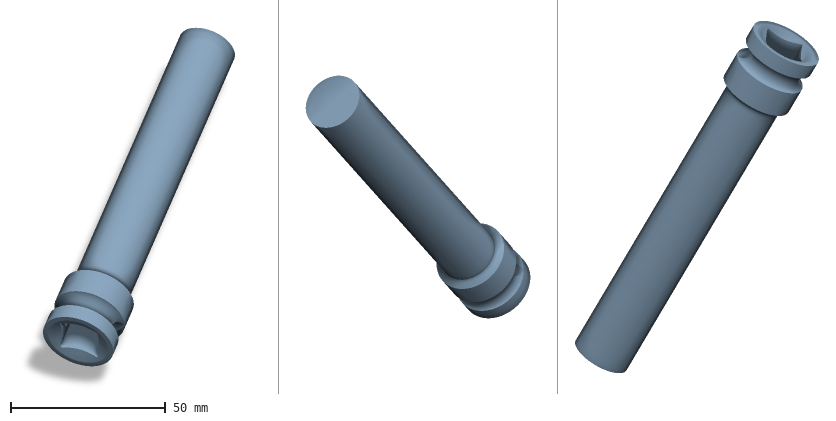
import cadquery as cq
import math

total_length = 127.0
collar_diameter = 24.0
shank_diameter = 19.0
collar_length = 22.0
collar_taper_length = 1.7

groove_position = 8.1
groove_width = 6.0
groove_depth = 2.4
pin_hole_diameter = 6.0

square_side = 12.7
square_depth = 16.0
lead_in_diameter = 20.5
lead_in_slope = 25.0

collar_radius = collar_diameter / 2
shank_radius = shank_diameter / 2
drive_end = -total_length / 2
far_end = total_length / 2
collar_end = drive_end + collar_length
groove_center = drive_end + groove_position


def make_body():
    """Revolve the shank, tapered collar and rounded groove about Y."""
    return (
        cq.Workplane("XY")
        .moveTo(0, drive_end)
        .lineTo(collar_radius, drive_end)
        .lineTo(collar_radius, groove_center - groove_width / 2)
        .threePointArc(
            (collar_radius - groove_depth, groove_center),
            (collar_radius, groove_center + groove_width / 2),
        )
        .lineTo(collar_radius, collar_end - collar_taper_length)
        .lineTo(shank_radius, collar_end)
        .lineTo(shank_radius, far_end)
        .lineTo(0, far_end)
        .close()
        .revolve(360, (0, 0, 0), (0, 1, 0))
    )


def make_drive_socket():
    """Blind square hole joined with a shallow lead-in cone."""
    square = cq.Workplane("XY").box(square_side, square_depth, square_side)
    square = square.translate((0, drive_end + square_depth / 2, 0))
    lead_in_radius = lead_in_diameter / 2
    cone_height = lead_in_radius * math.tan(math.radians(lead_in_slope))
    cone = (
        cq.Workplane("XY")
        .moveTo(0, drive_end)
        .lineTo(lead_in_radius, drive_end)
        .lineTo(0, drive_end + cone_height)
        .close()
        .revolve(360, (0, 0, 0), (0, 1, 0))
    )
    return square.union(cone)


def make_pin_hole():
    """Cross hole along X through both sides of the groove."""
    return (
        cq.Workplane("YZ")
        .center(groove_center, 0)
        .circle(pin_hole_diameter / 2)
        .extrude(collar_radius, both=True)
    )


result = make_body().cut(make_drive_socket()).cut(make_pin_hole())